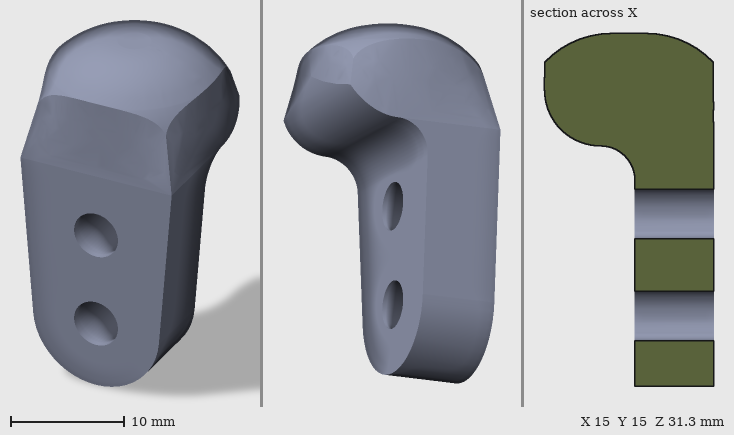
import cadquery as cq
import math

height = 31.25
width = 15.0
half_width = width / 2

stem_thickness = 7.0
foot_radius = 6.25
hole_diameter = 4.35
hole_spacing = 9.0
hole_heights = (foot_radius, foot_radius + hole_spacing)

head_base = 21.25
neck_radius = 3.0
chin_radius = width - stem_thickness - neck_radius

flat_radius = 1.5
dome_radius = 8.25
dome_sweep = math.radians(65)

front_face = -half_width
stem_back = front_face + stem_thickness


def make_stem():
    """Plate with sides tangent to the round foot, reaching to the neck."""
    rise = head_base - foot_radius
    corner_distance = math.hypot(half_width, rise)
    tangent_angle = math.atan2(rise, half_width) - math.acos(foot_radius / corner_distance)
    tangent_x = foot_radius * math.cos(tangent_angle)
    tangent_z = foot_radius + foot_radius * math.sin(tangent_angle)
    return (
        cq.Workplane("XZ", origin=(0, front_face, 0))
        .moveTo(-half_width, head_base)
        .lineTo(-tangent_x, tangent_z)
        .threePointArc((0, 0), (tangent_x, tangent_z))
        .lineTo(half_width, head_base)
        .close()
        .extrude(-width)
    )


def make_head():
    """Ruled blend from the square base to a circle of the same width."""
    diagonal = half_width * math.sqrt(0.5)
    return (
        cq.Workplane("XY", origin=(0, 0, head_base))
        .moveTo(-half_width, -half_width)
        .lineTo(half_width, -half_width)
        .lineTo(half_width, half_width)
        .lineTo(-half_width, half_width)
        .close()
        .workplane(offset=height - head_base)
        .moveTo(-diagonal, -diagonal)
        .threePointArc((0, -half_width), (diagonal, -diagonal))
        .threePointArc((half_width, 0), (diagonal, diagonal))
        .threePointArc((0, half_width), (-diagonal, diagonal))
        .threePointArc((-half_width, 0), (-diagonal, -diagonal))
        .close()
        .loft(ruled=True)
    )


def make_dome_envelope():
    """Revolved envelope: a small flat top with an arc tangent to it."""
    arc_center_z = height - dome_radius

    def arc_point(angle):
        return (
            flat_radius + dome_radius * math.sin(angle),
            arc_center_z + dome_radius * math.cos(angle),
        )

    return (
        cq.Workplane("XZ")
        .lineTo(0, height)
        .lineTo(flat_radius, height)
        .threePointArc(arc_point(dome_sweep / 2), arc_point(dome_sweep))
        .lineTo(width, head_base)
        .lineTo(width, 0)
        .close()
        .revolve(360, (0, 0, 0), (0, 1, 0))
    )


def make_side_envelope():
    """Side outline with the concave neck and the rounded chin behind the stem."""
    bend = math.sqrt(0.5)
    neck_y = stem_back + neck_radius
    neck_z = head_base - neck_radius
    chin_z = head_base + chin_radius
    return (
        cq.Workplane("YZ", origin=(-half_width, 0, 0))
        .moveTo(front_face, 0)
        .lineTo(stem_back, 0)
        .lineTo(stem_back, neck_z)
        .threePointArc((neck_y - neck_radius * bend, neck_z + neck_radius * bend), (neck_y, head_base))
        .threePointArc((neck_y + chin_radius * bend, chin_z - chin_radius * bend), (half_width, chin_z))
        .lineTo(half_width, height)
        .lineTo(front_face, height)
        .close()
        .extrude(width)
    )


def make_holes():
    """Through holes along the stem, running front to back."""
    return (
        cq.Workplane("XZ", origin=(0, front_face, 0))
        .pushPoints([(0, z) for z in hole_heights])
        .circle(hole_diameter / 2)
        .extrude(-stem_thickness)
    )


head = make_head().intersect(make_dome_envelope())
result = make_stem().union(head).intersect(make_side_envelope()).cut(make_holes())